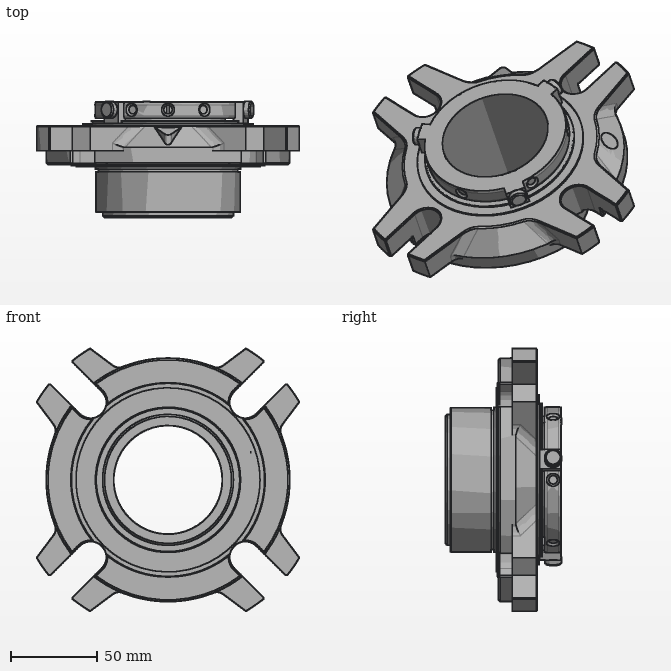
import cadquery as cq
import math


TOLERANCE = 0.1
CUT_CLEARANCE = 1.0

SLEEVE_BORE = 62.99
SLEEVE_REAR_DIAMETER = 66.65
NOSE_DIAMETER = 76.17
NOSE_LENGTH = 3.0
NOSE_CHAMFER = 1.2
BARREL_DIAMETER = 84.12
BARREL_CHAMFER = 0.4
BARREL_END = 26.6
GROOVE_DIAMETER = 81.1
GROOVE_END = 28.2
SHOULDER_DIAMETER = 84.45

PILOT_DIAMETER = 107.0
PILOT_FRONT = 29.7
LEDGE_DIAMETER = 113.0
LEDGE_FRONT = 30.25
LEDGE_CHAMFER = 0.4
DISC_DIAMETER = 141.7
DISC_FRONT = 30.8
DISC_CHAMFER = 1.1
PAD_FRONT = 38.8
CONE_START = 40.9
GLAND_BACK = 53.5
BACK_CHAMFER = 0.7
DISC_RADIUS = DISC_DIAMETER / 2
CONE_BACK_RADIUS = DISC_RADIUS - (GLAND_BACK - CONE_START)

PAD_COUNT = 4
PAD_TIP_RADIUS = 88.78
PAD_TIP_HALF_WIDTH = 22.0
PAD_WALL_TAPER = math.radians(8.1)
PAD_ROOT_DISTANCE = 40.0
PAD_FILLET = 6.4
SLOT_WIDTH = 18.2
SLOT_CENTRE_RADIUS = 63.6
LUG_CORNER_CHAMFER = 0.7
SLOT_CHAMFER = 0.8
SLOT_MOUTH_CHAMFER = 0.9

PLUG_DIAMETER = 11.25
PLUG_SEAT_DEPTH = 0.2
PLUG_Y = 48.0
RIDGE_TOP_Z = 69.4
RIDGE_ROUND_RADIUS = 2.1
RIDGE_FLANK_ANGLE = math.radians(58)
RIDGE_BASE_Z = 54.0
RIDGE_END_Y = 48.0

BOSS_DIAMETER = 99.0
BOSS_END = 54.5
SEAT_DIAMETER = 87.63
SEAT_END = 55.6
RETAINER_DIAMETER = 89.15
RETAINER_END = 56.35

COLLAR_DIAMETER = 85.0
COLLAR_FRONT = 57.6
COLLAR_BACK = 67.3
COLLAR_CHAMFER_LENGTH = 1.6
COLLAR_CHAMFER_DEPTH = 0.4
SCREW_ANGLES = (0, 60, 90, 120, 180, 240, 300)
SLOTTED_SCREW_ANGLE = 90
SCREW_Y = 62.71
SCREW_DIAMETER = 4.92
SCREW_SEAT_DIAMETER = 7.7
SCREW_SEAT_DEPTH = 1.4
SCREW_SLOT_WIDTH = 1.6
SCREW_SLOT_DEPTH = 0.8

CLIP_ANGLES = (15, 135, 255)
CLIP_WIDTH = 11.5
CLIP_INNER_RADIUS = 40.8
CLIP_OUTER_RADIUS = 46.7
CLIP_FRONT = 54.8
CLIP_HEAD_DIAMETER = 10.0
CLIP_HEAD_TOP_RADIUS = 50.6
CLIP_HEAD_CHAMFER = 0.85


def turned(profile):
    """Solid of revolution about Y from (radius, y) points."""
    return cq.Workplane("XY").polyline(profile).close().revolve(360, (0, 0, 0), (0, 1, 0))


def disc(diameter, y_front, y_back):
    """Plain disc about the Y axis."""
    return cq.Workplane("XZ", origin=(0, y_front, 0)).circle(diameter / 2).extrude(y_front - y_back)


def about_axis(body, angle):
    """Turn a body made on the +X side to an angle measured from +X towards +Z."""
    return body.rotate((0, 0, 0), (0, 1, 0), -angle)


def pad_angles():
    step = 360 / PAD_COUNT
    return [step * (index + 0.5) for index in range(PAD_COUNT)]


def make_pad():
    """Tapered bolt pad along +X with a tip concentric with the seal axis."""
    tip_distance = math.sqrt(PAD_TIP_RADIUS**2 - PAD_TIP_HALF_WIDTH**2)
    root_half_width = PAD_TIP_HALF_WIDTH + (tip_distance - PAD_ROOT_DISTANCE) * math.tan(PAD_WALL_TAPER)
    return (
        cq.Workplane("XZ", origin=(0, PAD_FRONT, 0))
        .moveTo(PAD_ROOT_DISTANCE, -root_half_width)
        .lineTo(tip_distance, -PAD_TIP_HALF_WIDTH)
        .threePointArc((PAD_TIP_RADIUS, 0), (tip_distance, PAD_TIP_HALF_WIDTH))
        .lineTo(PAD_ROOT_DISTANCE, root_half_width)
        .close()
        .extrude(PAD_FRONT - GLAND_BACK)
    )


def make_slot():
    """Round-ended bolt slot along +X, open at the pad tip and flared at the two lug corners."""
    length = PAD_TIP_RADIUS - SLOT_CENTRE_RADIUS + SLOT_WIDTH
    slot = (
        cq.Workplane("XZ", origin=(SLOT_CENTRE_RADIUS + length / 2, 0, 0))
        .slot2D(length + SLOT_WIDTH, SLOT_WIDTH)
        .extrude(-COLLAR_BACK)
    )
    half_width = SLOT_WIDTH / 2
    tip_distance = math.sqrt(PAD_TIP_RADIUS**2 - half_width**2)
    flare_reach = half_width + 2 * LUG_CORNER_CHAMFER
    corners = (
        cq.Workplane("XZ")
        .moveTo(tip_distance - LUG_CORNER_CHAMFER, -half_width)
        .lineTo(tip_distance + LUG_CORNER_CHAMFER, -flare_reach)
        .lineTo(tip_distance + LUG_CORNER_CHAMFER, flare_reach)
        .lineTo(tip_distance - LUG_CORNER_CHAMFER, half_width)
        .close()
        .extrude(-COLLAR_BACK)
    )
    return slot.union(corners)


class PadRootSelector(cq.Selector):
    """Edges where the pad side walls run into the disc rim and the cone."""

    def filter(self, edges):
        return [edge for edge in edges if self.is_root(edge)]

    def is_root(self, edge):
        y_low = edge.BoundingBox().ymin
        y_high = edge.BoundingBox().ymax
        middle = edge.positionAt(0.5)
        radius = math.hypot(middle.x, middle.z)
        runs_along_y = y_high - y_low > TOLERANCE
        on_pad = y_low > PAD_FRONT - TOLERANCE
        return runs_along_y and on_pad and radius < DISC_RADIUS + TOLERANCE


class SlotMouthSelector(cq.Selector):
    """Edges along Y where the bolt slots break out through the disc rim."""

    def filter(self, edges):
        return [edge for edge in edges if self.is_mouth(edge)]

    def is_mouth(self, edge):
        box = edge.BoundingBox()
        middle = edge.positionAt(0.5)
        on_rim = abs(math.hypot(middle.x, middle.z) - DISC_RADIUS) < TOLERANCE
        return on_rim and edge.geomType() == "LINE" and box.ymax < PAD_FRONT + TOLERANCE


def make_gland():
    gland = turned(
        [
            (0, DISC_FRONT),
            (DISC_RADIUS - DISC_CHAMFER, DISC_FRONT),
            (DISC_RADIUS, DISC_FRONT + DISC_CHAMFER),
            (DISC_RADIUS, CONE_START),
            (CONE_BACK_RADIUS, GLAND_BACK),
            (0, GLAND_BACK),
        ]
    )
    pad = make_pad()
    for angle in pad_angles():
        gland = gland.union(about_axis(pad, angle))
    gland = gland.edges(PadRootSelector()).fillet(PAD_FILLET)
    ledge = disc(LEDGE_DIAMETER, LEDGE_FRONT, PAD_FRONT).faces("<Y").chamfer(LEDGE_CHAMFER)
    slot = make_slot()
    for angle in pad_angles():
        gland = gland.cut(about_axis(slot, angle))
        ledge = ledge.cut(about_axis(slot, angle))
    gland = gland.edges(SlotMouthSelector()).chamfer(SLOT_MOUTH_CHAMFER)
    gland = gland.faces(">Y").edges().chamfer(BACK_CHAMFER)
    gland = gland.faces("<Y").edges("not(%CIRCLE)").chamfer(SLOT_CHAMFER)
    pilot = disc(PILOT_DIAMETER, PILOT_FRONT, PAD_FRONT)
    return gland.union(ledge).union(pilot)


def make_plug_seat():
    """Flat round facet on the -X side of the cone, square to the cone surface."""
    cone_radius = DISC_RADIUS - (PLUG_Y - CONE_START)
    seat = cq.Plane(origin=(-cone_radius, PLUG_Y, 0), xDir=(0, 0, 1), normal=(-1, 1, 0))
    return (
        cq.Workplane(seat)
        .workplane(offset=-PLUG_SEAT_DEPTH)
        .circle(PLUG_DIAMETER / 2)
        .extrude(PLUG_DIAMETER)
    )


def make_ridge():
    """Round-topped ridge along Y on the +Z side of the cone, sloping down to the gland back."""
    centre_z = RIDGE_TOP_Z - RIDGE_ROUND_RADIUS
    tangent_x = RIDGE_ROUND_RADIUS * math.sin(RIDGE_FLANK_ANGLE)
    tangent_z = centre_z + RIDGE_ROUND_RADIUS * math.cos(RIDGE_FLANK_ANGLE)
    base_x = tangent_x + (tangent_z - RIDGE_BASE_Z) / math.tan(RIDGE_FLANK_ANGLE)
    back_y = GLAND_BACK - BACK_CHAMFER
    ridge = (
        cq.Workplane("XZ", origin=(0, CONE_START, 0))
        .moveTo(-base_x, RIDGE_BASE_Z)
        .lineTo(-tangent_x, tangent_z)
        .threePointArc((0, RIDGE_TOP_Z), (tangent_x, tangent_z))
        .lineTo(base_x, RIDGE_BASE_Z)
        .close()
        .extrude(CONE_START - back_y)
    )
    side_outline = (
        cq.Workplane("YZ", origin=(-base_x, 0, 0))
        .polyline(
            [
                (CONE_START, RIDGE_BASE_Z),
                (CONE_START, RIDGE_TOP_Z),
                (RIDGE_END_Y, RIDGE_TOP_Z),
                (back_y, CONE_BACK_RADIUS),
                (back_y, RIDGE_BASE_Z),
            ]
        )
        .close()
        .extrude(2 * base_x)
    )
    return ridge.intersect(side_outline)


def make_sleeve():
    """Sleeve without its bore, from the nose to the back of the collar."""
    nose = NOSE_DIAMETER / 2
    barrel = BARREL_DIAMETER / 2
    groove = GROOVE_DIAMETER / 2
    shoulder = SHOULDER_DIAMETER / 2
    rear = SLEEVE_REAR_DIAMETER / 2
    return turned(
        [
            (0, 0),
            (nose - NOSE_CHAMFER, 0),
            (nose, NOSE_CHAMFER),
            (nose, NOSE_LENGTH),
            (barrel - BARREL_CHAMFER, NOSE_LENGTH),
            (barrel, NOSE_LENGTH + BARREL_CHAMFER),
            (barrel, BARREL_END),
            (groove, BARREL_END),
            (groove, GROOVE_END),
            (shoulder, GROOVE_END),
            (shoulder, PAD_FRONT),
            (rear, PAD_FRONT),
            (rear, COLLAR_BACK),
            (0, COLLAR_BACK),
        ]
    )


def make_rear_rings():
    boss = disc(BOSS_DIAMETER, PAD_FRONT, BOSS_END)
    seat = disc(SEAT_DIAMETER, PAD_FRONT, SEAT_END)
    retainer = disc(RETAINER_DIAMETER, SEAT_END, RETAINER_END)
    return boss.union(seat).union(retainer)


def make_screw_seat():
    """Conical seat on the +X side of the collar that ends at a screw head."""
    rim = COLLAR_DIAMETER / 2
    floor = rim - SCREW_SEAT_DEPTH
    flare_slope = (SCREW_SEAT_DIAMETER - SCREW_DIAMETER) / 2 / SCREW_SEAT_DEPTH
    mouth_radius = SCREW_SEAT_DIAMETER / 2 + flare_slope * CUT_CLEARANCE
    profile = [
        (floor, SCREW_Y),
        (floor, SCREW_Y + SCREW_DIAMETER / 2),
        (rim + CUT_CLEARANCE, SCREW_Y + mouth_radius),
        (rim + CUT_CLEARANCE, SCREW_Y),
    ]
    return cq.Workplane("XY").polyline(profile).close().revolve(360, (0, SCREW_Y, 0), (1, SCREW_Y, 0))


def make_screw_slot():
    """Driver slot across a screw head on the +X side, running along Y."""
    floor = COLLAR_DIAMETER / 2 - SCREW_SEAT_DEPTH
    centre = cq.Workplane("XY", origin=(floor, SCREW_Y, 0))
    return centre.box(2 * SCREW_SLOT_DEPTH, SCREW_DIAMETER, SCREW_SLOT_WIDTH)


def make_collar():
    rim = COLLAR_DIAMETER / 2
    edge = rim - COLLAR_CHAMFER_DEPTH
    collar = turned(
        [
            (0, COLLAR_FRONT),
            (edge, COLLAR_FRONT),
            (rim, COLLAR_FRONT + COLLAR_CHAMFER_LENGTH),
            (rim, COLLAR_BACK - COLLAR_CHAMFER_LENGTH),
            (edge, COLLAR_BACK),
            (0, COLLAR_BACK),
        ]
    )
    screw_seat = make_screw_seat()
    for angle in SCREW_ANGLES:
        collar = collar.cut(about_axis(screw_seat, angle))
    return collar.cut(about_axis(make_screw_slot(), SLOTTED_SCREW_ANGLE))


def make_clip():
    """Setting clip on the +X side: a bracket that grips the retainer, and its cap screw head."""
    thickness = CLIP_OUTER_RADIUS - CLIP_INNER_RADIUS
    bracket = (
        cq.Workplane("XY", origin=(CLIP_INNER_RADIUS, CLIP_FRONT, -CLIP_WIDTH / 2))
        .rect(thickness, COLLAR_BACK - CLIP_FRONT, centered=False)
        .extrude(CLIP_WIDTH)
    )
    head = (
        cq.Workplane("YZ", origin=(CLIP_OUTER_RADIUS, SCREW_Y, 0))
        .circle(CLIP_HEAD_DIAMETER / 2)
        .extrude(CLIP_HEAD_TOP_RADIUS - CLIP_OUTER_RADIUS)
        .faces(">X")
        .chamfer(CLIP_HEAD_CHAMFER)
    )
    return bracket.union(head)


def make_seal():
    seal = make_gland().cut(make_plug_seat()).union(make_ridge())
    seal = seal.union(make_sleeve()).union(make_rear_rings()).union(make_collar())
    clip = make_clip()
    for angle in CLIP_ANGLES:
        seal = seal.union(about_axis(clip, angle))
    return seal.cut(disc(SLEEVE_BORE, 0, COLLAR_BACK))


result = make_seal()